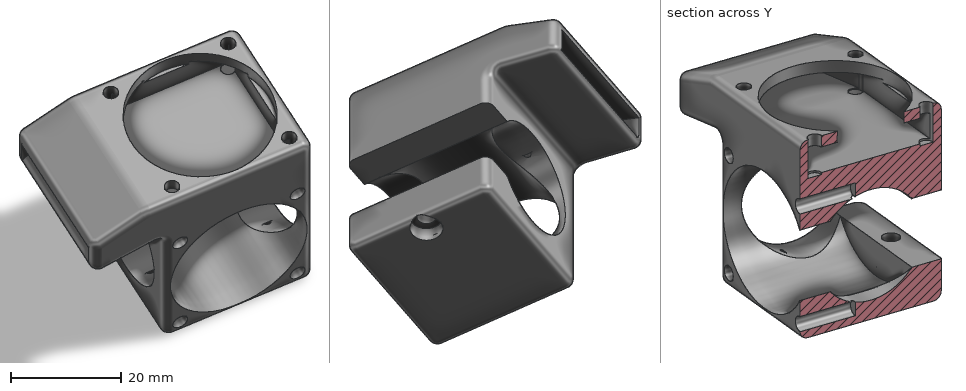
import cadquery as cq
import math

BODY_WIDTH = 30.5
TOTAL_LENGTH = 45.0
HEIGHT = 40.5
HALF = BODY_WIDTH / 2
NOSE_Y = HALF - TOTAL_LENGTH

TOP_SLOPE = math.radians(20)
UNDERSIDE_SLOPE = math.radians(10)
TOP_BEND_Y = -18.7
NOSE_BOTTOM_Z = 27.95
EDGE_RADIUS = 1.75
TOP_BEND_RADIUS = 5.0
ARMPIT_RADIUS = 1.75

FAN_BORE_DIAMETER = 28.0
FAN_SCREW_OFFSET = 12.0
TOP_BORE_DEPTH = 3.0
TOP_SCREW_DIAMETER = 2.8
TOP_SCREW_DEPTH = 7.9
SIDE_SCREW_DIAMETER = 3.0
SIDE_SCREW_DEPTH = 11.9

CHANNEL_WIDTH = 26.4
CHANNEL_BACK_Y = 12.8
CHANNEL_FLOOR_Z = 33.0
ROOF_THICKNESS = 2.4
NOSE_ROOF_THICKNESS = 2.0
FLOOR_BEND_Y = -10.0
FLOOR_BEND_RADIUS = 30.0
LIP_RADIUS = 2.5

CLAMP_Z = HALF
CLAMP_DIAMETER = 22.5
CLAMP_GAP = 13.95
CLAMP_EDGE_X = -math.sqrt((CLAMP_DIAMETER / 2) ** 2 - (CLAMP_GAP / 2) ** 2)
CLAMP_SCREW_X = -12.0
CLAMP_SCREW_DIAMETER = 3.5
CLAMP_HEAD_DIAMETER = 6.0
CLAMP_HEAD_DEPTH = 3.0


def extrude_across(profile, width):
    """Extrude a YZ profile symmetrically about X = 0."""
    return profile.extrude(width / 2, both=True)


def outer_body():
    """Body and nose as one side profile, with every outer edge rounded."""
    nose_top_z = HEIGHT - (TOP_BEND_Y - NOSE_Y) * math.tan(TOP_SLOPE)
    armpit_z = NOSE_BOTTOM_Z + (-HALF - NOSE_Y) * math.tan(UNDERSIDE_SLOPE)
    profile = cq.Workplane("YZ").polyline(
        [
            (HALF, 0),
            (HALF, HEIGHT),
            (TOP_BEND_Y, HEIGHT),
            (NOSE_Y, nose_top_z),
            (NOSE_Y, NOSE_BOTTOM_Z),
            (-HALF, armpit_z),
            (-HALF, 0),
        ]
    ).close()
    body = extrude_across(profile, BODY_WIDTH)
    body = body.edges(cq.NearestToPointSelector((0, TOP_BEND_Y, HEIGHT))).fillet(TOP_BEND_RADIUS)
    body = body.edges(cq.NearestToPointSelector((0, -HALF, armpit_z))).fillet(ARMPIT_RADIUS)
    side_outlines = body.faces("<X or >X").edges()
    corners = body.edges("|X and (<Y or >Y or <Z)")
    return side_outlines.add(corners).fillet(EDGE_RADIUS)


def air_channel():
    """Fan chamber whose floor bends into a ramp and rounds over a lip at the nose mouth."""
    roof_z = HEIGHT - ROOF_THICKNESS
    nose_top_z = HEIGHT - (TOP_BEND_Y - NOSE_Y) * math.tan(TOP_SLOPE)
    mouth_top_z = nose_top_z - NOSE_ROOF_THICKNESS / math.cos(TOP_SLOPE)
    roof_bend_y = NOSE_Y + (roof_z - mouth_top_z) / math.tan(TOP_SLOPE)

    ramp_y = FLOOR_BEND_Y - FLOOR_BEND_RADIUS * math.sin(UNDERSIDE_SLOPE)
    ramp_z = CHANNEL_FLOOR_Z - FLOOR_BEND_RADIUS * (1 - math.cos(UNDERSIDE_SLOPE))
    lip_y = NOSE_Y + EDGE_RADIUS
    lip_z = ramp_z - (ramp_y - lip_y) * math.tan(UNDERSIDE_SLOPE)
    lip_centre_y = lip_y + LIP_RADIUS * math.sin(UNDERSIDE_SLOPE)
    lip_centre_z = lip_z - LIP_RADIUS * math.cos(UNDERSIDE_SLOPE)
    mouth_bottom_z = lip_centre_z + math.sqrt(LIP_RADIUS**2 - (lip_centre_y - NOSE_Y) ** 2)
    profile = (
        cq.Workplane("YZ")
        .moveTo(CHANNEL_BACK_Y, roof_z)
        .lineTo(CHANNEL_BACK_Y, CHANNEL_FLOOR_Z)
        .lineTo(FLOOR_BEND_Y, CHANNEL_FLOOR_Z)
        .tangentArcPoint((ramp_y, ramp_z), relative=False)
        .lineTo(lip_y, lip_z)
        .tangentArcPoint((NOSE_Y, mouth_bottom_z), relative=False)
        .lineTo(NOSE_Y, mouth_top_z)
        .lineTo(roof_bend_y, roof_z)
        .close()
    )
    return extrude_across(profile, CHANNEL_WIDTH)


def square_pattern(plane, centre):
    """Place the four fan screw positions around a centre on a plane."""
    spacing = 2 * FAN_SCREW_OFFSET
    return cq.Workplane(plane, origin=centre).rarray(spacing, spacing, 2, 2)


def top_fan_cut():
    """Bore into the fan chamber and screw holes ending just below the chamber floor."""
    bore = cq.Workplane("XY", origin=(0, 0, HEIGHT)).circle(FAN_BORE_DIAMETER / 2).extrude(-TOP_BORE_DEPTH)
    screws = square_pattern("XY", (0, 0, HEIGHT)).circle(TOP_SCREW_DIAMETER / 2).extrude(-TOP_SCREW_DEPTH)
    return bore.union(screws)


def side_fan_cut():
    """Bore and blind screw holes from +X, the bore ending at the mouth of the clamp gap."""
    bore_depth = HALF - CLAMP_EDGE_X
    centre = (HALF, 0, CLAMP_Z)
    bore = cq.Workplane("YZ", origin=centre).circle(FAN_BORE_DIAMETER / 2).extrude(-bore_depth)
    screws = square_pattern("YZ", centre).circle(SIDE_SCREW_DIAMETER / 2).extrude(-SIDE_SCREW_DEPTH)
    return bore.union(screws)


def clamp_cut():
    """Cylindrical seat along Y, open toward -X through the clamp gap."""
    bore = cq.Workplane("XZ", origin=(0, 0, CLAMP_Z))
    bore = bore.circle(CLAMP_DIAMETER / 2).extrude(HALF, both=True)
    gap = cq.Workplane("XY").box(HALF, BODY_WIDTH, CLAMP_GAP)
    return bore.union(gap.translate((-HALF / 2, 0, CLAMP_Z)))


def clamp_screw_cut():
    """Counterbored screw hole up from the base through the lower jaw."""
    base = cq.Workplane("XY", origin=(CLAMP_SCREW_X, 0, 0))
    shank = base.circle(CLAMP_SCREW_DIAMETER / 2).extrude(CLAMP_Z)
    head = base.circle(CLAMP_HEAD_DIAMETER / 2).extrude(CLAMP_HEAD_DEPTH)
    return shank.union(head)


result = (
    outer_body()
    .cut(air_channel())
    .cut(top_fan_cut())
    .cut(clamp_cut())
    .cut(side_fan_cut())
    .cut(clamp_screw_cut())
)